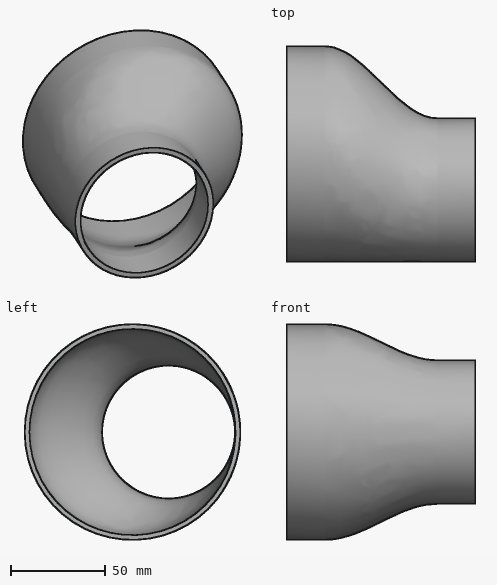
import cadquery as cq

LENGTH = 100.0
LARGE_DIAMETER = 114.3
LARGE_BORE = 109.2
SMALL_DIAMETER = 76.1
SMALL_BORE = 70.3
COLLAR_LENGTH = 20.0
TANGENT_LENGTH = 21.7
SECTION_STEPS = 12

TRANSITION_LENGTH = LENGTH - 2 * COLLAR_LENGTH
SMALL_END_OFFSET = -(LARGE_DIAMETER - SMALL_DIAMETER) / 2


def disc_workplane(x, center_y):
    """YZ workplane at x, centred on a pipe section."""
    return cq.Workplane("YZ", origin=(x, center_y, 0))


def s_curve(t):
    """Point on a Bezier S-curve: distance along the transition and blend (0 large end, 1 small end)."""
    early = 3 * t * (1 - t) ** 2
    late = 3 * t**2 * (1 - t)
    final = t**3
    distance = (
        early * TANGENT_LENGTH
        + late * (TRANSITION_LENGTH - TANGENT_LENGTH)
        + final * TRANSITION_LENGTH
    )
    blend = late + final
    return distance, blend


def transition(large_diameter, small_diameter):
    """Smooth loft through circles that shrink and shift toward -Y."""
    sections = []
    for step in range(SECTION_STEPS + 1):
        distance, blend = s_curve(step / SECTION_STEPS)
        diameter = large_diameter + blend * (small_diameter - large_diameter)
        center = cq.Vector(COLLAR_LENGTH + distance, blend * SMALL_END_OFFSET, 0)
        sections.append(cq.Wire.makeCircle(diameter / 2, center, cq.Vector(1, 0, 0)))
    return cq.Workplane(cq.Solid.makeLoft(sections))


def reducer_body(large_diameter, small_diameter):
    """Solid reducer shape: large collar, transition and small collar."""
    large_collar = disc_workplane(0, 0).circle(large_diameter / 2).extrude(COLLAR_LENGTH)
    small_collar = (
        disc_workplane(LENGTH - COLLAR_LENGTH, SMALL_END_OFFSET)
        .circle(small_diameter / 2)
        .extrude(COLLAR_LENGTH)
    )
    return large_collar.union(transition(large_diameter, small_diameter)).union(small_collar)


outside = reducer_body(LARGE_DIAMETER, SMALL_DIAMETER)
bore = reducer_body(LARGE_BORE, SMALL_BORE)
result = cq.Workplane(outside.cut(bore).solids().val())